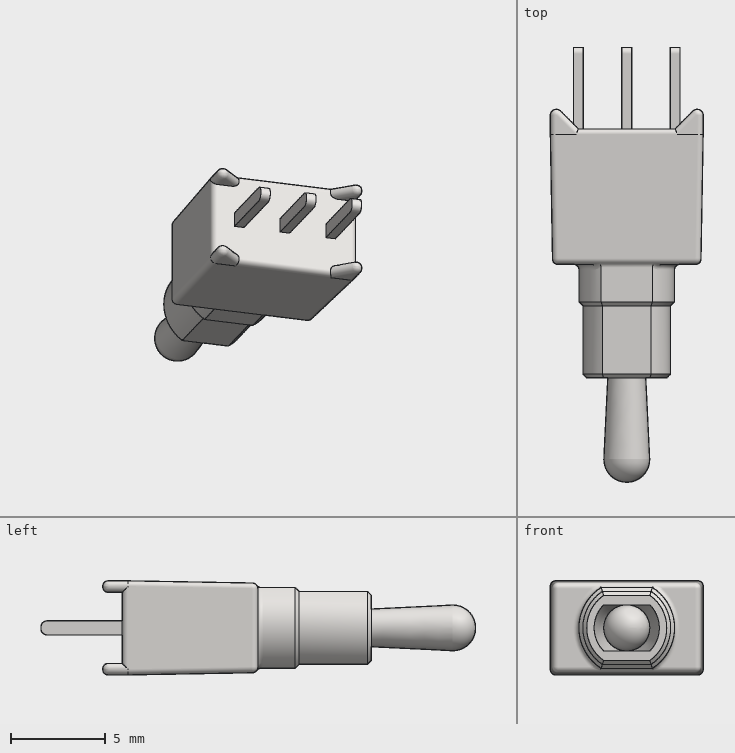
import cadquery as cq
import math


body_width = 8.1
body_height = 5.0
body_depth = 7.18
edge_radius = 0.3
draft_angle = 1.0
shoulder_y = body_depth - edge_radius

tab_reach = 1.04
tab_thickness = 0.62
tab_tip_radius = 0.32
tab_tip_y = body_depth + tab_reach

pin_count = 3
pin_pitch = 2.55
pin_width = 0.53
pin_thickness = 0.75
pin_end_y = 11.48
pin_tip_radius = 0.35

bushing_radius = 2.32
bushing_flat = 1.93
bushing_length = 6.0
collar_step = 0.2
collar_radius = bushing_radius + collar_step
collar_flat = bushing_flat + collar_step
collar_length = 2.18
cove_radius = 0.28
cove_search_depth = 0.12

opening_radius = 1.72
opening_flat = 1.22

lever_tip_y = -11.52
lever_tip_radius = 1.22
lever_mouth_radius = 1.01
tip_center_y = lever_tip_y + lever_tip_radius
lever_slope = (lever_tip_radius - lever_mouth_radius) / (-bushing_length - tip_center_y)
lever_root_radius = lever_tip_radius - lever_slope * (-collar_length - tip_center_y)


def box(width, height, y_start, y_end):
    """Block centred on the lever axis between two Y positions."""
    depth = y_end - y_start
    return cq.Workplane("XY").box(width, depth, height).translate((0, y_start + depth / 2, 0))


def flatted_cylinder(radius, flat, y_start, y_end):
    """Cylinder along the lever axis with flats at Z = +flat and -flat."""
    cylinder = cq.Workplane("XZ", origin=(0, y_end, 0)).circle(radius).extrude(y_end - y_start)
    return cylinder.intersect(box(2 * radius, 2 * flat, y_start, y_end))


def make_body():
    draft_growth = 2 * edge_radius * math.tan(math.radians(draft_angle))
    return (
        cq.Workplane("XZ", origin=(0, body_depth, 0))
        .rect(body_width + draft_growth, body_height + draft_growth)
        .extrude(body_depth, taper=draft_angle)
        .edges()
        .fillet(edge_radius)
    )


def make_tab():
    """Triangular tab at +X, +Z with rounded edges and a rounded tip."""
    outer_x = body_width / 2
    tip_center = tab_tip_y - tab_tip_radius - shoulder_y
    apex = tip_center + tab_tip_radius * (1 + math.sqrt(2))
    root = -tab_thickness
    tab = (
        cq.Workplane("XY", origin=(outer_x, shoulder_y, body_height / 2 - tab_thickness))
        .polyline([(0, apex), (0, root), (root - apex, root)])
        .close()
        .extrude(tab_thickness)
        .edges("|Z and >Y")
        .fillet(tab_tip_radius)
        .edges("(not |Z) and (not <Y)")
        .fillet(edge_radius)
    )
    return tab.intersect(box(body_width, body_height, shoulder_y, tab_tip_y))


def make_pin():
    pin = box(pin_width, pin_thickness, shoulder_y, pin_end_y)
    return pin.faces(">Y").edges("|X").fillet(pin_tip_radius)


def make_lever():
    profile = (
        cq.Workplane("XY")
        .moveTo(0, -collar_length)
        .lineTo(lever_root_radius, -collar_length)
        .lineTo(lever_tip_radius, tip_center_y)
        .radiusArc((0, lever_tip_y), lever_tip_radius)
        .close()
    )
    return profile.revolve(360, (0, 0, 0), (0, 1, 0))


def make_opening():
    """Funnel that narrows until it meets the lever at the collar's front."""
    funnel = (
        cq.Workplane("XY")
        .polyline([
            (0, -collar_length),
            (lever_root_radius, -collar_length),
            (opening_radius, -bushing_length),
            (0, -bushing_length),
        ])
        .close()
        .revolve(360, (0, 0, 0), (0, 1, 0))
    )
    return funnel.intersect(box(2 * opening_radius, 2 * opening_flat, -bushing_length, -collar_length))


collar = flatted_cylinder(collar_radius, collar_flat, -collar_length, edge_radius)
collar = collar.faces("<Y").chamfer(collar_step)
root_zone = cq.selectors.BoxSelector(
    (-bushing_radius, -cove_search_depth, -body_height / 2),
    (bushing_radius, cove_search_depth, body_height / 2),
)
result = make_body().union(collar).edges(root_zone).fillet(cove_radius)

bushing = flatted_cylinder(bushing_radius, bushing_flat, -bushing_length, 0)
bushing = bushing.faces("<Y").chamfer(collar_step)
result = result.union(bushing).cut(make_opening()).union(make_lever())

tab = make_tab()
for mirrored in (tab, tab.mirror("YZ"), tab.mirror("XY"), tab.mirror("YZ").mirror("XY")):
    result = result.union(mirrored)

pin = make_pin()
for index in range(pin_count):
    pin_x = (index - (pin_count - 1) / 2) * pin_pitch
    result = result.union(pin.translate((pin_x, 0, 0)))